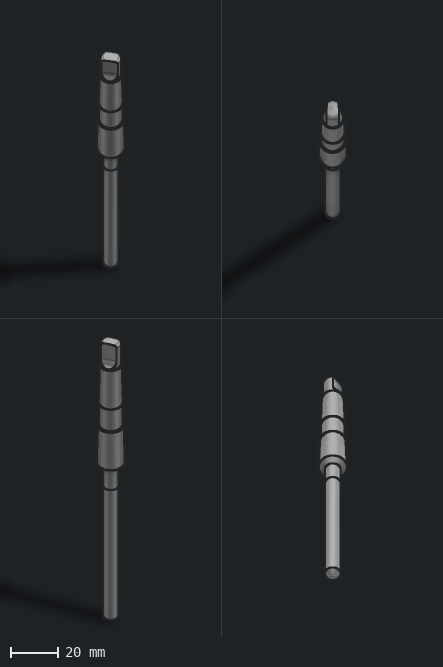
import cadquery as cq
import math

TOTAL_LENGTH = 150.0

DRILL_DIAMETER = 6.8
POINT_HEIGHT = 2.1
CUTTING_LENGTH = 72.0

COLLAR_START_Z = 82.6
TAPER_START_Z = 84.6
NECK_START_Z = 104.8
NECK_END_Z = 116.5
TAPER_END_Z = 137.4
GAUGE_DIAMETER = 12.2
TAPER_RATIO = 1 / 20
NECK_DIAMETER = 10.0
BEVEL_HEIGHT = 0.5

TANG_DIAMETER = 8.8
TANG_THICKNESS = 5.2
TANG_ANGLE = 30
TANG_CORNER = 1.2
CROWN_HEIGHT = 0.5
FLAT_START_Z = 141.3
RUNOUT_RADIUS = 5.0


def taper_radius(z):
    """Radius of the shank taper at height z."""
    return (GAUGE_DIAMETER - TAPER_RATIO * (z - TAPER_START_Z)) / 2


def make_cutting_part():
    """Plain cylindrical drill with a conical point."""
    radius = DRILL_DIAMETER / 2
    return (
        cq.Workplane("XZ")
        .moveTo(0, 0)
        .lineTo(radius, POINT_HEIGHT)
        .lineTo(radius, CUTTING_LENGTH)
        .lineTo(0, CUTTING_LENGTH)
        .close()
        .revolve(360, (0, 0, 0), (0, 1, 0))
    )


def make_shank_blank():
    """Round shank: drill stem, collar, relieved taper and round tang."""
    stem_radius = DRILL_DIAMETER / 2
    neck_radius = NECK_DIAMETER / 2
    tang_radius = TANG_DIAMETER / 2
    arc_offset = TANG_CORNER * math.sqrt(0.5)
    corner_r = tang_radius - TANG_CORNER
    crown_z = TOTAL_LENGTH - CROWN_HEIGHT
    corner_z = crown_z - TANG_CORNER
    return (
        cq.Workplane("XZ")
        .moveTo(0, CUTTING_LENGTH)
        .lineTo(stem_radius, CUTTING_LENGTH)
        .lineTo(stem_radius, COLLAR_START_Z)
        .lineTo(taper_radius(TAPER_START_Z), TAPER_START_Z)
        .lineTo(taper_radius(NECK_START_Z - BEVEL_HEIGHT), NECK_START_Z - BEVEL_HEIGHT)
        .lineTo(neck_radius, NECK_START_Z)
        .lineTo(neck_radius, NECK_END_Z)
        .lineTo(taper_radius(NECK_END_Z), NECK_END_Z)
        .lineTo(taper_radius(TAPER_END_Z - BEVEL_HEIGHT), TAPER_END_Z - BEVEL_HEIGHT)
        .lineTo(tang_radius, TAPER_END_Z)
        .lineTo(tang_radius, corner_z)
        .threePointArc((corner_r + arc_offset, corner_z + arc_offset), (corner_r, crown_z))
        .lineTo(0, TOTAL_LENGTH)
        .close()
        .revolve(360, (0, 0, 0), (0, 1, 0))
    )


def make_flat_cutter(side):
    """Material removed beside one tang flat (side is +1 or -1), with a round run-out."""
    flat_y = side * TANG_THICKNESS / 2
    outer_y = side * GAUGE_DIAMETER / 2
    arc_center_y = flat_y + side * RUNOUT_RADIUS
    outer_drop = math.sqrt(RUNOUT_RADIUS**2 - (outer_y - arc_center_y) ** 2)
    middle_angle = math.atan2(outer_drop, abs(arc_center_y - outer_y)) / 2
    middle_point = (
        arc_center_y - side * RUNOUT_RADIUS * math.cos(middle_angle),
        FLAT_START_Z - RUNOUT_RADIUS * math.sin(middle_angle),
    )
    return (
        cq.Workplane("YZ")
        .moveTo(flat_y, TOTAL_LENGTH)
        .lineTo(flat_y, FLAT_START_Z)
        .threePointArc(middle_point, (outer_y, FLAT_START_Z - outer_drop))
        .lineTo(outer_y, TOTAL_LENGTH)
        .close()
        .extrude(GAUGE_DIAMETER / 2, both=True)
        .rotate((0, 0, 0), (0, 0, 1), TANG_ANGLE)
    )


def make_shank():
    """Tapered shank with two parallel flats on its tang."""
    shank = make_shank_blank()
    for side in (-1, 1):
        shank = shank.cut(make_flat_cutter(side))
    return shank


cutting_part = make_cutting_part()
shank = make_shank()

result = cq.Compound.makeCompound([cutting_part.val(), shank.val()])